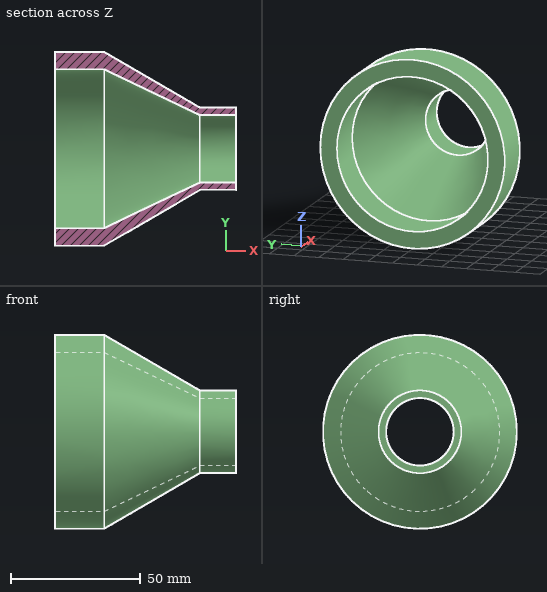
import cadquery as cq

total_length = 70.0
wide_length = 19.0
narrow_length = 14.0

wide_outer_diameter = 75.0
wide_bore_diameter = 61.4
narrow_outer_diameter = 32.0
narrow_bore_diameter = 26.0

cone_start = wide_length
cone_end = total_length - narrow_length


def stepped_cone(wide_diameter, narrow_diameter):
    """Solid of revolution about X: wide cylinder, cone, narrow cylinder."""
    wide_radius = wide_diameter / 2
    narrow_radius = narrow_diameter / 2
    return (
        cq.Workplane("XY")
        .moveTo(0, 0)
        .lineTo(0, wide_radius)
        .lineTo(cone_start, wide_radius)
        .lineTo(cone_end, narrow_radius)
        .lineTo(total_length, narrow_radius)
        .lineTo(total_length, 0)
        .close()
        .revolve(360, (0, 0, 0), (1, 0, 0))
    )


body = stepped_cone(wide_outer_diameter, narrow_outer_diameter)
passage = stepped_cone(wide_bore_diameter, narrow_bore_diameter)

result = body.cut(passage)